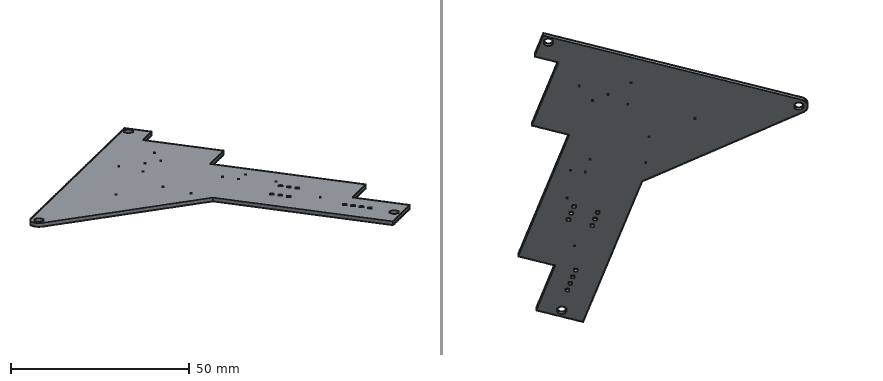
import cadquery as cq
import math

length = 96.1
width = 78.7
thickness = 1.2

tab_right = 8.1
left_step_right = 32.3
middle_step_right = 78.9
left_step_top = 71.7
middle_step_top = 60.7
arm_top = 49.8

arm_bottom = 36.0
slant_start_x = 42.2
corner_radius = 2.5

mount_diameter = 2.7
mount_centers = [(1.9, 76.6), (93.9, 43.0), (corner_radius, corner_radius)]

pin_diameter = 1.2
pins_per_short_row = 3
pins_per_long_row = 4
long_row_span = 7.6
pin_pitch = long_row_span / (pins_per_long_row - 1)
short_rows_center_x = 59.3
short_rows_y = (51.3, 44.3)
long_row_center = (82.6, 43.7)

via_diameter = 0.4
via_centers = [
    (14.5, 63.5), (18.4, 58.3), (44.5, 56.3), (14.9, 54.8), (54.4, 54.1),
    (39.0, 52.4), (43.8, 52.2), (8.8, 50.0), (16.6, 48.5), (70.4, 46.8),
    (26.1, 39.1), (35.3, 37.1), (15.8, 28.9),
]


def corner_point(angle):
    """Point on the rounded corner at an angle in radians from +X."""
    return (
        corner_radius + corner_radius * math.cos(angle),
        corner_radius + corner_radius * math.sin(angle),
    )


def make_plate():
    run = slant_start_x - corner_radius
    rise = arm_bottom - corner_radius
    tangent_angle = math.atan2(rise, run) - math.acos(corner_radius / math.hypot(run, rise))
    return (
        cq.Workplane("XY")
        .moveTo(0, corner_radius)
        .lineTo(0, width)
        .lineTo(tab_right, width)
        .lineTo(tab_right, left_step_top)
        .lineTo(left_step_right, left_step_top)
        .lineTo(left_step_right, middle_step_top)
        .lineTo(middle_step_right, middle_step_top)
        .lineTo(middle_step_right, arm_top)
        .lineTo(length, arm_top)
        .lineTo(length, arm_bottom)
        .lineTo(slant_start_x, arm_bottom)
        .lineTo(*corner_point(tangent_angle))
        .threePointArc(corner_point(-math.pi / 2), (0, corner_radius))
        .close()
        .extrude(thickness)
    )


def row_centers(center_x, y, count):
    """Centers of a pin row along X, spread evenly about center_x."""
    first_x = center_x - pin_pitch * (count - 1) / 2
    return [(first_x + i * pin_pitch, y) for i in range(count)]


def drill(plate, centers, diameter):
    """Cut through holes at the given centers."""
    drills = cq.Workplane("XY").pushPoints(centers).circle(diameter / 2).extrude(thickness)
    return plate.cut(drills)


pin_centers = row_centers(*long_row_center, pins_per_long_row)
for row_y in short_rows_y:
    pin_centers += row_centers(short_rows_center_x, row_y, pins_per_short_row)

result = make_plate()
result = drill(result, mount_centers, mount_diameter)
result = drill(result, pin_centers, pin_diameter)
result = drill(result, via_centers, via_diameter)